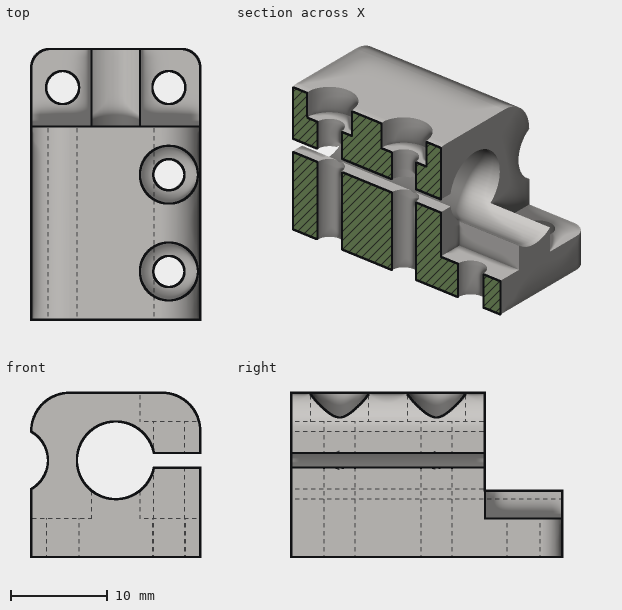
import cadquery as cq

width = 17.5
length = 28.0
height = 17.0
half_width = width / 2

block_length = 20.0
top_radius = 4.0
bore_diameter = 8.0
bore_z = 10.0
slit_height = 1.5

groove_half_height = 2.97
groove_depth = 1.75

flange_length = length - block_length
flange_height = 4.0
flange_corner_radius = 2.0
flange_hole_diameter = 3.4
flange_hole_y = length - flange_length / 2
rib_width = 5.0

screw_diameter = 3.2
screw_head_diameter = 6.0
screw_head_depth = 3.0
screw_pitch = block_length / 2
first_screw_y = block_length / 4

hole_x = 5.5


def vertical_cylinder(diameter, x, y, bottom, top):
    """Cylinder along Z between two heights."""
    return cq.Workplane("XY", origin=(x, y, bottom)).circle(diameter / 2).extrude(top - bottom)


def make_block():
    """Block with rounded top edges and the side groove."""
    block = cq.Workplane("XY").box(width, block_length, height, centered=(True, False, False))
    block = block.edges("|Y and >Z").fillet(top_radius)
    groove = (
        cq.Workplane("XZ")
        .moveTo(-half_width, bore_z - groove_half_height)
        .threePointArc(
            (-half_width + groove_depth, bore_z),
            (-half_width, bore_z + groove_half_height),
        )
        .close()
        .extrude(-block_length)
    )
    return block.cut(groove)


def make_flange():
    """Low plate with rounded rear corners, two mounting holes and the rib."""
    start = cq.Workplane("XY", origin=(0, block_length, 0))
    flange = start.box(width, flange_length, flange_height, centered=(True, False, False))
    flange = flange.edges("|Z and >Y").fillet(flange_corner_radius)
    for x in (-hole_x, hole_x):
        flange = flange.cut(vertical_cylinder(flange_hole_diameter, x, flange_hole_y, 0, flange_height))
    rib = start.box(rib_width, flange_length, bore_z, centered=(True, False, False))
    return flange.union(rib)


def cut_bore_and_slit(body):
    """Bore through the full length, opened to the +X side by the slit."""
    bore = cq.Workplane("XZ").center(0, bore_z).circle(bore_diameter / 2).extrude(-length)
    slit = cq.Workplane("XY", origin=(0, 0, bore_z)).box(
        half_width, block_length, slit_height, centered=(False, False, True)
    )
    return body.cut(bore).cut(slit)


def cut_clamp_screws(body):
    """Through holes with head recesses from the top."""
    for y in (first_screw_y, first_screw_y + screw_pitch):
        body = body.cut(vertical_cylinder(screw_diameter, hole_x, y, 0, height))
        head_seat_z = height - screw_head_depth
        body = body.cut(vertical_cylinder(screw_head_diameter, hole_x, y, head_seat_z, height))
    return body


result = make_block().union(make_flange())
result = cut_bore_and_slit(result)
result = cut_clamp_screws(result)